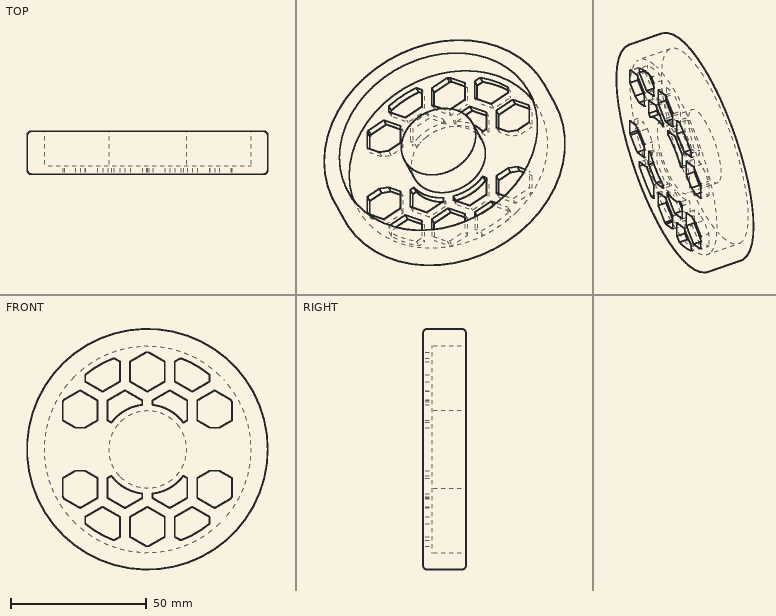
import cadquery as cq
import math

outer_diameter = 88.9
depth = 15.9
rim_fillet = 1.6
cavity_radius = 38.1
plate_thickness = 3.2
cavity_depth = depth - plate_thickness

boss_radius = 14.3

hexagon_width = 12.7
web_width = 3.8
hexagon_pitch = hexagon_width + web_width
row_pitch = hexagon_pitch * math.sqrt(3) / 2
ring_inner_radius = 16.5
ring_outer_radius = 35.7
band_half_height = 8.0
rows = (-2, -1, 1, 2)
cells_per_side = 2


def cylinder(radius, start, length):
    """Disc about the Y axis, running from Y = start towards the back."""
    return cq.Workplane("XZ", origin=(0, start, 0)).circle(radius).extrude(-length)


def honeycomb_centres():
    """Cell centres (x, z) inside the ring, with odd rows shifted by half a pitch."""
    centres = []
    for row in rows:
        z = row * row_pitch
        shift = (row % 2) * hexagon_pitch / 2
        for cell in range(-cells_per_side, cells_per_side + 1):
            x = cell * hexagon_pitch + shift
            if math.hypot(x, z) < ring_outer_radius:
                centres.append((x, z))
    return centres


def hexagonal_prism(x, z):
    """Prism through the plate, with two flats parallel to Z."""
    corner_diameter = hexagon_width / math.cos(math.radians(30))
    face = cq.Workplane("XZ", origin=(x, 0, z)).transformed(rotate=(0, 0, 30))
    return face.polygon(6, corner_diameter).extrude(-plate_thickness)


def honeycomb_cutter():
    """All the hexagonal prisms, trimmed by the ring's two circles and by the solid band."""
    cells = cq.Workplane("XZ")
    for x, z in honeycomb_centres():
        cells = cells.union(hexagonal_prism(x, z))
    band = cq.Workplane("XY").box(outer_diameter, 2 * depth, 2 * band_half_height)
    cells = cells.intersect(cylinder(ring_outer_radius, 0, plate_thickness))
    return cells.cut(cylinder(ring_inner_radius, 0, plate_thickness)).cut(band)


def cup():
    """Disc with both outer edges rounded, hollowed from the back around the boss."""
    disc = cylinder(outer_diameter / 2, 0, depth).faces("<Y or >Y").edges().fillet(rim_fillet)
    hollow = disc.cut(cylinder(cavity_radius, plate_thickness, cavity_depth))
    return hollow.union(cylinder(boss_radius, plate_thickness, cavity_depth))


result = cup().cut(honeycomb_cutter())